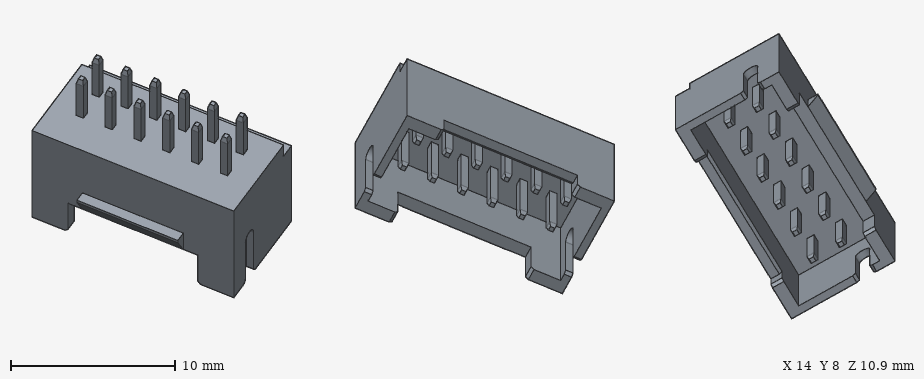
import cadquery as cq

HOUSING_WIDTH = 14.0
HOUSING_DEPTH = 7.3
HOUSING_HEIGHT = 7.7
REAR_STEP = 1.0
SIDE_WALL = 0.5
END_WALL = 0.8
BASE_THICKNESS = 1.5
MOUTH_CHAMFER = 0.2

WINDOW_WIDTH = 9.0
FRONT_WINDOW_HEIGHT = 2.5
REAR_WINDOW_HEIGHT = 1.25
REAR_WINDOW_BEVEL = 0.2
SLOT_WIDTH = 1.0
SLOT_HEIGHT = 4.0
SLOT_CENTRE_Y = 2.0

LATCH_WIDTH = 7.0
LATCH_PROJECTION = 0.7
LATCH_TOP = 3.95
LATCH_LIP = 0.2

PIN_COLUMNS = 6
PIN_ROWS = 2
PIN_PITCH = 2.0
FRONT_ROW_Y = 2.65
PIN_SIZE = 0.5
PIN_TIP_SIZE = 0.3
PIN_TAPER = 0.37
PIN_BOTTOM = 2.2
PIN_TOP = 10.9


def make_housing():
    """Hollow box, open at the bottom, with a step along its upper rear edge."""
    body = cq.Workplane("XY").box(
        HOUSING_WIDTH, HOUSING_DEPTH, HOUSING_HEIGHT, centered=(True, False, False)
    )
    step = (
        cq.Workplane("XY")
        .box(HOUSING_WIDTH, REAR_STEP, REAR_STEP, centered=(True, False, False))
        .translate((0, HOUSING_DEPTH - REAR_STEP, HOUSING_HEIGHT - REAR_STEP))
    )
    cavity = (
        cq.Workplane("XY")
        .box(
            HOUSING_WIDTH - 2 * SIDE_WALL,
            HOUSING_DEPTH - 2 * END_WALL,
            HOUSING_HEIGHT - BASE_THICKNESS,
            centered=(True, False, False),
        )
        .translate((0, END_WALL, 0))
    )
    return body.cut(step).cut(cavity)


def make_window(height, start_y):
    """Cutter for a window through one end wall, flared at its mouth."""
    half = WINDOW_WIDTH / 2
    flared_half = half + MOUTH_CHAMFER
    outline = [
        (-flared_half, 0),
        (-half, MOUTH_CHAMFER),
        (-half, height),
        (half, height),
        (half, MOUTH_CHAMFER),
        (flared_half, 0),
    ]
    return (
        cq.Workplane("XZ", origin=(0, start_y, 0)).polyline(outline).close().extrude(-END_WALL)
    )


def make_rear_window_bevel():
    """Cutter for the bevel on the inner top edge of the rear window."""
    inner_y = HOUSING_DEPTH - END_WALL
    corner = [
        (inner_y, REAR_WINDOW_HEIGHT),
        (inner_y + REAR_WINDOW_BEVEL, REAR_WINDOW_HEIGHT),
        (inner_y, REAR_WINDOW_HEIGHT + REAR_WINDOW_BEVEL),
    ]
    return cq.Workplane("YZ").polyline(corner).close().extrude(WINDOW_WIDTH / 2, both=True)


def make_side_slots():
    """Cutter for the round-ended slots through both side walls."""
    radius = SLOT_WIDTH / 2
    front = SLOT_CENTRE_Y - radius
    rear = SLOT_CENTRE_Y + radius
    return (
        cq.Workplane("YZ")
        .moveTo(front - MOUTH_CHAMFER, 0)
        .lineTo(front, MOUTH_CHAMFER)
        .lineTo(front, SLOT_HEIGHT - radius)
        .threePointArc((SLOT_CENTRE_Y, SLOT_HEIGHT), (rear, SLOT_HEIGHT - radius))
        .lineTo(rear, MOUTH_CHAMFER)
        .lineTo(rear + MOUTH_CHAMFER, 0)
        .close()
        .extrude(HOUSING_WIDTH / 2, both=True)
    )


def make_latch():
    """Wedge that rises from the top edge of the front window to a flat lip."""
    profile = [
        (0, FRONT_WINDOW_HEIGHT),
        (-LATCH_PROJECTION, LATCH_TOP - LATCH_LIP),
        (-LATCH_PROJECTION, LATCH_TOP),
        (0, LATCH_TOP),
    ]
    return cq.Workplane("YZ").polyline(profile).close().extrude(LATCH_WIDTH / 2, both=True)


def make_pin(x, y):
    """Square pin with a tapered tip at each end."""
    shank_bottom = PIN_BOTTOM + PIN_TAPER
    shank_top = PIN_TOP - PIN_TAPER
    pin = (
        cq.Workplane("XY", origin=(x, y, shank_bottom))
        .rect(PIN_SIZE, PIN_SIZE)
        .extrude(shank_top - shank_bottom)
    )
    for shank_end, offset in ((shank_top, PIN_TAPER), (shank_bottom, -PIN_TAPER)):
        tip = (
            cq.Workplane("XY", origin=(x, y, shank_end))
            .rect(PIN_SIZE, PIN_SIZE)
            .workplane(offset=offset)
            .rect(PIN_TIP_SIZE, PIN_TIP_SIZE)
            .loft(ruled=True)
        )
        pin = pin.union(tip)
    return pin


result = (
    make_housing()
    .cut(make_window(FRONT_WINDOW_HEIGHT, 0))
    .cut(make_window(REAR_WINDOW_HEIGHT, HOUSING_DEPTH - END_WALL))
    .cut(make_rear_window_bevel())
    .cut(make_side_slots())
    .union(make_latch())
)

for row in range(PIN_ROWS):
    for column in range(PIN_COLUMNS):
        pin_x = (column - (PIN_COLUMNS - 1) / 2) * PIN_PITCH
        pin_y = FRONT_ROW_Y + row * PIN_PITCH
        result = result.union(make_pin(pin_x, pin_y))